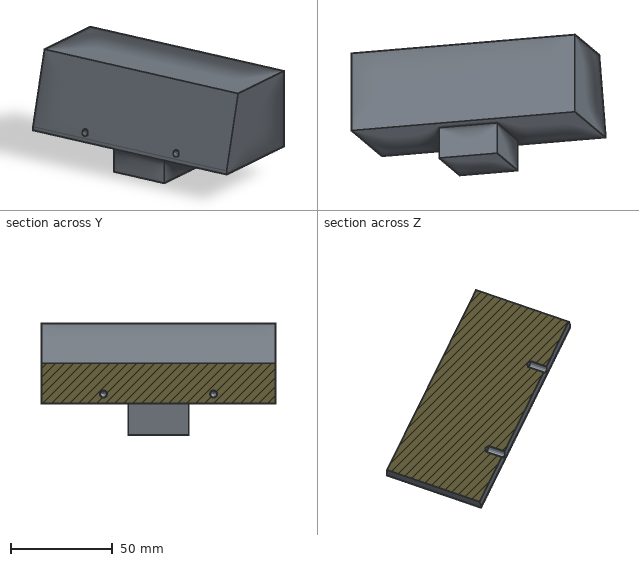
import cadquery as cq
import math

length = 114.9
depth = 50.0
body_height = 39.3
top_depth = 40.0
lip_height = 2.1

foot_length = 29.9
foot_margin = 8.0
foot_depth = depth - 2 * foot_margin
foot_height = 15.4

hole_diameter = 3.3
hole_spacing = 54.0
hole_center_height = 4.7
hole_depth = 9.2
drill_tip_angle = 118.0


def make_body():
    """Block with a sloping front face above a narrow upright lip."""
    front = -depth / 2
    back = depth / 2
    profile = [
        (front, 0),
        (back, 0),
        (back, body_height),
        (back - top_depth, body_height),
        (front, lip_height),
    ]
    return cq.Workplane("YZ").polyline(profile).close().extrude(length / 2, both=True)


def make_foot():
    """Rectangular foot hanging from the underside of the body."""
    return cq.Workplane("XY").rect(foot_length, foot_depth).extrude(-foot_height)


def make_drill(x):
    """Drill shape along Y, entering from the front and ending in a conical tip."""
    radius = hole_diameter / 2
    tip_length = radius / math.tan(math.radians(drill_tip_angle / 2))
    profile = [(0, 0), (radius, 0), (radius, hole_depth), (0, hole_depth + tip_length)]
    drill = cq.Workplane("XY").polyline(profile).close().revolve(360, (0, 0), (0, 1))
    return drill.translate((x, -depth / 2, hole_center_height))


result = make_body().union(make_foot())
for side in (-1, 1):
    result = result.cut(make_drill(side * hole_spacing / 2))